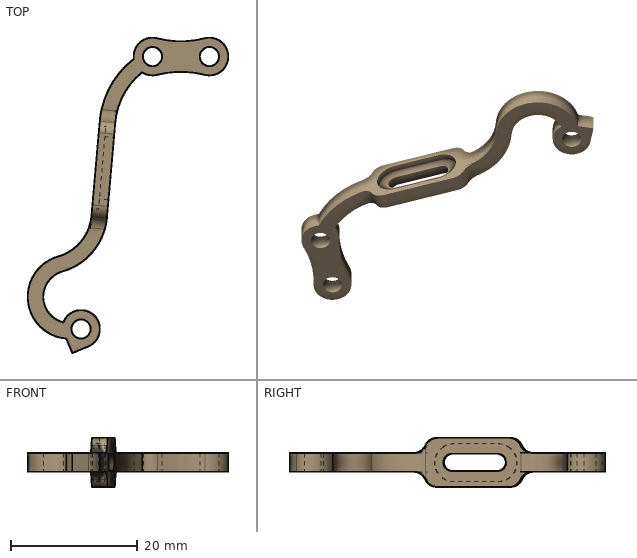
import math

import cadquery as cq


arm_height = 3.0
panel_height = 7.8
arm_width = 2.5

hole_diameter = 3.0
lobe_radius = 3.0
hole_spacing = 9.0
waist_radius = 15.0

bend_center = (5.5, -11.4)
bend_radius = math.hypot(*bend_center)
elbow_center = (-16.9, -24.62)
elbow_radius = 8.5
hook_center_x = -13.1
hook_radius = 5.4
eye_angle = math.radians(-70.5)

tip = (-12.68, -46.91)
tip_root_angle = math.radians(-94.7)

step_radius = 2.0
slot_length = 9.9
slot_height = 2.7
pocket_length = 13.05
pocket_height = 6.0
pocket_depth = 1.0
slot_shift = 0.25

overcut = 1.0


def polar(center, radius, angle):
    """Point at a radius and angle (radians) around a centre."""
    return (center[0] + radius * math.cos(angle), center[1] + radius * math.sin(angle))


def direction(start, end):
    """Angle (radians) of the line from start to end."""
    return math.atan2(end[1] - start[1], end[0] - start[0])


hook_drop = math.sqrt((elbow_radius + hook_radius) ** 2 - (hook_center_x - elbow_center[0]) ** 2)
hook_center = (hook_center_x, elbow_center[1] - hook_drop)
eye_center = polar(hook_center, hook_radius, eye_angle)
tip_root = polar(hook_center, hook_radius + arm_width / 2, tip_root_angle)

centers_angle = direction(elbow_center, bend_center)
centers_distance = math.dist(elbow_center, bend_center)
face_angle = centers_angle - math.acos((bend_radius + elbow_radius) / centers_distance)
straight_top = polar(bend_center, -bend_radius, face_angle)
straight_bottom = polar(elbow_center, elbow_radius, face_angle)
straight_length = math.dist(straight_top, straight_bottom)


def extrude_centered(outline, height):
    """Extrude a closed outline by a total height, half to each side of its plane."""
    return outline.extrude(height / 2, both=True)


def make_plate():
    """Two round lobes joined by a waist whose arcs are tangent to the lobes."""
    blend = lobe_radius / (lobe_radius + waist_radius)
    half_spacing = hole_spacing / 2
    waist_rise = math.sqrt((lobe_radius + waist_radius) ** 2 - half_spacing ** 2)
    waist_half_width = waist_rise - waist_radius
    touch_x = half_spacing * blend
    touch_y = waist_rise * blend
    outline = (
        cq.Workplane("XY")
        .moveTo(touch_x, touch_y)
        .threePointArc((half_spacing, waist_half_width), (hole_spacing - touch_x, touch_y))
        .threePointArc((hole_spacing + lobe_radius, 0), (hole_spacing - touch_x, -touch_y))
        .threePointArc((half_spacing, -waist_half_width), (touch_x, -touch_y))
        .threePointArc((-lobe_radius, 0), (touch_x, touch_y))
        .close()
    )
    return extrude_centered(outline, arm_height)


def make_arm(height):
    """The curved arm from the first plate hole to the eye, at a given height."""
    half_width = arm_width / 2
    bend_start = direction(bend_center, (0, 0))
    bend_end = face_angle + math.pi
    elbow_end = direction(elbow_center, hook_center)
    hook_start = elbow_end + math.pi
    hook_end = eye_angle + 2 * math.pi

    def edge_arcs(side):
        """Start, middle and end points of the three arcs along one edge; side is +1 on the left."""
        bend_edge = bend_radius + side * half_width
        elbow_edge = elbow_radius - side * half_width
        hook_edge = hook_radius + side * half_width
        return {
            "bend": [polar(bend_center, bend_edge, a)
                     for a in (bend_start, (bend_start + bend_end) / 2, bend_end)],
            "elbow": [polar(elbow_center, elbow_edge, a)
                      for a in (face_angle, (face_angle + elbow_end) / 2, elbow_end)],
            "hook": [polar(hook_center, hook_edge, a)
                     for a in (hook_start, (hook_start + hook_end) / 2, hook_end)],
        }

    left = edge_arcs(1)
    right = edge_arcs(-1)
    outline = (
        cq.Workplane("XY")
        .moveTo(*left["bend"][0])
        .threePointArc(*left["bend"][1:])
        .lineTo(*left["elbow"][0])
        .threePointArc(*left["elbow"][1:])
        .threePointArc(*left["hook"][1:])
        .lineTo(*right["hook"][2])
        .threePointArc(*right["hook"][1::-1])
        .threePointArc(*right["elbow"][1::-1])
        .lineTo(*right["bend"][2])
        .threePointArc(*right["bend"][1::-1])
        .close()
    )
    return extrude_centered(outline, height)


def panel_plane(offset_along=0.0, offset_out=0.0):
    """Upright plane along the straight: local x runs up the arm, local y is +Z."""
    along = (-math.sin(face_angle), math.cos(face_angle), 0)
    out = (math.cos(face_angle), math.sin(face_angle), 0)
    middle = [(a + b) / 2 for a, b in zip(straight_top, straight_bottom)]
    origin = [middle[i] + offset_along * along[i] + offset_out * out[i] for i in range(2)]
    return cq.Workplane(cq.Plane(origin=(*origin, 0), xDir=along, normal=out))


def make_panel():
    """Flat upright panel on the straight, stepping down to the arm height at both ends.

    Each step is two equal arcs that meet at the end of the straight. Past the
    straight, the panel is trimmed to the curved outline of the arm.
    """
    low = arm_height / 2
    high = panel_height / 2
    halfway = (low + high) / 2
    step_angle = math.acos(1 - (high - low) / 2 / step_radius)
    half_run = step_radius * math.sin(step_angle)
    half_arc_run = step_radius * math.sin(step_angle / 2)
    half_arc_rise = step_radius * (1 - math.cos(step_angle / 2))
    end = straight_length / 2

    def step_points(along_sign, height_sign):
        """Points of one S-shaped step, from the low end to the high end."""
        points = [
            (end + half_run, low),
            (end + half_run - half_arc_run, low + half_arc_rise),
            (end, halfway),
            (end - half_run + half_arc_run, high - half_arc_rise),
            (end - half_run, high),
        ]
        return [(along_sign * x, height_sign * y) for x, y in points]

    def draw_step(outline, points):
        """Continue an outline along the five points of a step."""
        return outline.lineTo(*points[0]).threePointArc(*points[1:3]).threePointArc(*points[3:])

    outline = panel_plane().moveTo(end + half_run, 0)
    outline = draw_step(outline, step_points(1, 1))
    outline = draw_step(outline, step_points(-1, 1)[::-1])
    outline = draw_step(outline, step_points(-1, -1))
    outline = draw_step(outline, step_points(1, -1)[::-1]).close()
    return extrude_centered(outline, arm_width).intersect(make_arm(panel_height))


def make_eye():
    """Round eye with a point.

    The point's far side is tangent to the round, and its near side is flat.
    """
    touch_spread = math.acos(lobe_radius / math.dist(eye_center, tip))
    touch_angle = direction(eye_center, tip) + touch_spread
    back_angle = eye_angle + 1.5 * math.pi
    touch, crown, back = [
        polar(eye_center, lobe_radius, a)
        for a in (touch_angle, (touch_angle + back_angle) / 2, back_angle)
    ]
    outline = (
        cq.Workplane("XY")
        .moveTo(*tip_root)
        .lineTo(*tip)
        .lineTo(*touch)
        .threePointArc(crown, back)
        .close()
    )
    return extrude_centered(outline, arm_height)


def make_holes():
    """Through holes of the plate and the eye."""
    centers = [(0, 0), (hole_spacing, 0), eye_center]
    circles = cq.Workplane("XY").pushPoints(centers).circle(hole_diameter / 2)
    return extrude_centered(circles, arm_height + 2 * overcut)


def make_slot():
    """Long slot through the panel, with a wider pocket in its left-hand (-X) face."""
    slot = extrude_centered(
        panel_plane(slot_shift).slot2D(slot_length, slot_height), arm_width + 2 * overcut
    )
    pocket_floor = pocket_depth - arm_width / 2
    pocket = (
        panel_plane(slot_shift, pocket_floor)
        .slot2D(pocket_length, pocket_height)
        .extrude(-pocket_depth - overcut)
    )
    return slot.union(pocket)


arm = make_arm(arm_height).union(make_panel()).cut(make_slot())
result = arm.union(make_plate()).union(make_eye()).cut(make_holes())